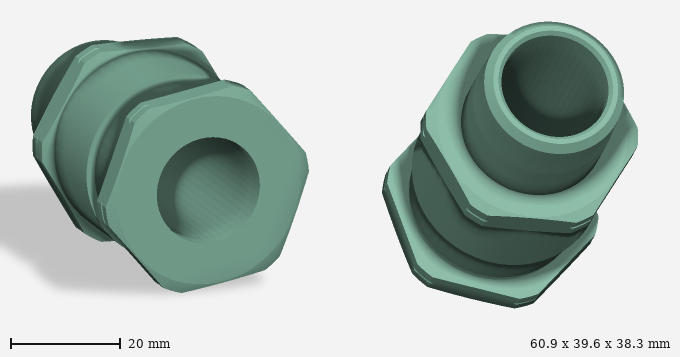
import cadquery as cq
import math

total_length = 60.9
entry_x = -total_length / 2
shoulder_hex_x = entry_x + 20.5
shoulder_hex_width = 6.1
body_length = 17.45
neck_length = 10.9
nut_width = 5.2
taper_length = 10.2

shoulder_hex_end = shoulder_hex_x + shoulder_hex_width
body_end = shoulder_hex_end + body_length
neck_end = body_end + neck_length
nut_end = entry_x + total_length
nut_x = nut_end - nut_width

bore_diameter = 20.0
spigot_diameter = 26.8
taper_diameter = 26.15
body_diameter = 35.2
neck_diameter = 32.0

entry_chamfer_length = 1.45
entry_face_diameter = 23.3
bore_chamfer = 0.7
neck_chamfer = 1.0

collar_small_diameter = neck_diameter - 2 * neck_chamfer
collar_large_diameter = 31.5
collar_cone_length = 0.5

hex_sides = 6
across_flats = 36.0
corner_diameter = 1.1 * across_flats
hex_face_diameter = 35.5
hex_chamfer_angle = 15.0
groove_width = 0.8
groove_depth = 0.3
shoulder_groove_offset = shoulder_hex_width / 2
nut_groove_offset = 2.4
nut_turn = 10.0


def revolve_profile(points):
    """Revolve a closed (x, radius) outline about the X axis."""
    return cq.Workplane("XY").polyline(points).close().revolve(360, (0, 0, 0), (1, 0, 0))


def make_hexagon(start, width, groove_offset, turn, chamfer_start):
    """Hexagon with two corners on Y, turned about X, whose corners are rounded and grooved.

    The far face is always chamfered, the near face only with chamfer_start.
    """
    corner_radius = corner_diameter / 2
    face_radius = hex_face_diameter / 2
    chamfer = (corner_radius - face_radius) * math.tan(math.radians(hex_chamfer_angle))
    end = start + width
    groove_x = start + groove_offset

    blank = cq.Workplane("XY").moveTo(start, 0)
    if chamfer_start:
        blank = blank.lineTo(start, face_radius).lineTo(start + chamfer, corner_radius)
    else:
        blank = blank.lineTo(start, corner_radius)
    blank = (
        blank.lineTo(groove_x - groove_width / 2, corner_radius)
        .threePointArc(
            (groove_x, corner_radius - groove_depth),
            (groove_x + groove_width / 2, corner_radius),
        )
        .lineTo(end - chamfer, corner_radius)
        .lineTo(end, face_radius)
        .lineTo(end, 0)
        .close()
        .revolve(360, (0, 0, 0), (1, 0, 0))
    )

    circumscribed_diameter = across_flats / math.cos(math.pi / hex_sides)
    prism = (
        cq.Workplane("YZ", origin=(start, 0, 0))
        .polygon(hex_sides, circumscribed_diameter)
        .extrude(width)
        .rotate((0, 0, 0), (1, 0, 0), turn)
    )
    return prism.intersect(blank)


def make_turned_core():
    """Spigot, body, neck and collar as one solid of revolution."""
    return revolve_profile([
        (entry_x, 0),
        (entry_x, entry_face_diameter / 2),
        (entry_x + entry_chamfer_length, taper_diameter / 2),
        (entry_x + taper_length, spigot_diameter / 2),
        (shoulder_hex_x, spigot_diameter / 2),
        (shoulder_hex_x, body_diameter / 2),
        (body_end, body_diameter / 2),
        (body_end, neck_diameter / 2),
        (neck_end - neck_chamfer, neck_diameter / 2),
        (neck_end, collar_small_diameter / 2),
        (nut_x - collar_cone_length, collar_small_diameter / 2),
        (nut_x, collar_large_diameter / 2),
        (nut_end, collar_large_diameter / 2),
        (nut_end, 0),
    ])


def make_bore():
    """Through bore with a chamfered mouth at the spigot end."""
    return revolve_profile([
        (entry_x, 0),
        (entry_x, bore_diameter / 2 + bore_chamfer),
        (entry_x + bore_chamfer, bore_diameter / 2),
        (nut_end, bore_diameter / 2),
        (nut_end, 0),
    ])


shoulder_hexagon = make_hexagon(shoulder_hex_x, shoulder_hex_width, shoulder_groove_offset, 0, True)
nut_hexagon = make_hexagon(nut_x, nut_width, nut_groove_offset, nut_turn, False)

result = make_turned_core().union(shoulder_hexagon).union(nut_hexagon).cut(make_bore())